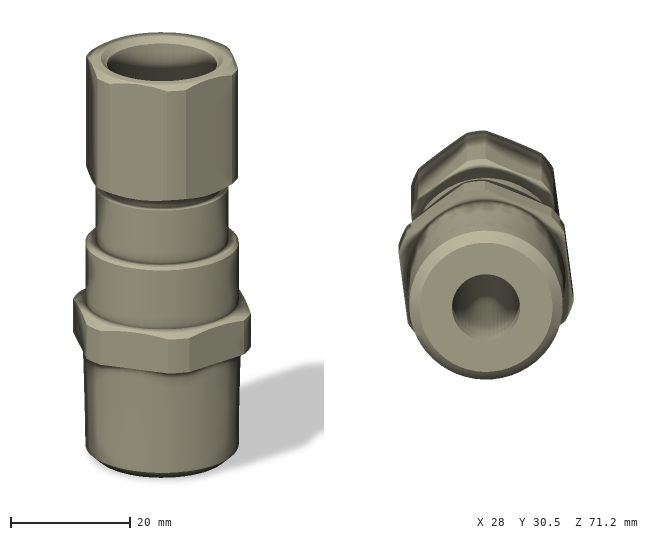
import cadquery as cq
import math

TOTAL_HEIGHT = 71.25
SWIVEL_HEX_BOTTOM = 50.1
NECK_BOTTOM = 48.25
JOINT_LEVEL = 38.55
BODY_HEX_TOP = 27.5
BODY_HEX_BOTTOM = 20.45
TIP_CHAMFER_HEIGHT = 1.6

BODY_ACROSS_FLATS = 28.0
BODY_HEX_DIAMETER = 30.5
BODY_HEX_CHAMFER_HEIGHT = 0.9
COLLAR_DIAMETER = 25.7
COLLAR_CHAMFER = 0.4
TAPER_TOP_DIAMETER = 26.65
TAPER_BOTTOM_DIAMETER = 25.7
TIP_DIAMETER = 22.3

SWIVEL_ACROSS_FLATS = 24.0
SWIVEL_HEX_DIAMETER = 26.1
SWIVEL_FACE_DIAMETER = 23.5
CORNER_CHAMFER_ANGLE = 30.0
NECK_DIAMETER = 20.0
SHANK_DIAMETER = 22.3

SOCKET_DIAMETER = 18.45
SOCKET_MOUTH_DIAMETER = 20.5
SOCKET_FLOOR = SWIVEL_HEX_BOTTOM
PASSAGE_DIAMETER = 11.4
PASSAGE_MOUTH_DIAMETER = 13.7


def revolve_profile(points):
    """Revolve (diameter, height) points, closed along the Z axis."""
    bottom = points[0][1]
    top = points[-1][1]
    outline = [(0, bottom)] + [(d / 2, z) for d, z in points] + [(0, top)]
    return cq.Workplane("XZ").polyline(outline).close().revolve(360, (0, 0), (0, 1))


def hex_prism(across_flats, bottom, top):
    """Hexagon with two flats facing +X and -X."""
    corner_diameter = across_flats / math.cos(math.radians(30))
    prism = cq.Workplane("XY").workplane(offset=bottom).polygon(6, corner_diameter).extrude(top - bottom)
    return prism.rotate((0, 0, 0), (0, 0, 1), 30)


def make_body():
    hexagon = hex_prism(BODY_ACROSS_FLATS, BODY_HEX_BOTTOM, BODY_HEX_TOP)
    rounding = revolve_profile([
        (BODY_HEX_DIAMETER, BODY_HEX_BOTTOM),
        (BODY_HEX_DIAMETER, BODY_HEX_TOP - BODY_HEX_CHAMFER_HEIGHT),
        (COLLAR_DIAMETER, BODY_HEX_TOP),
    ])
    thread_end = revolve_profile([
        (TIP_DIAMETER, 0),
        (TAPER_BOTTOM_DIAMETER, TIP_CHAMFER_HEIGHT),
        (TAPER_TOP_DIAMETER, BODY_HEX_BOTTOM),
    ])
    collar = revolve_profile([
        (COLLAR_DIAMETER, BODY_HEX_TOP),
        (COLLAR_DIAMETER, JOINT_LEVEL - COLLAR_CHAMFER),
        (COLLAR_DIAMETER - 2 * COLLAR_CHAMFER, JOINT_LEVEL),
    ])
    passage = revolve_profile([(PASSAGE_DIAMETER, 0), (PASSAGE_DIAMETER, JOINT_LEVEL)])
    return hexagon.intersect(rounding).union(thread_end).union(collar).cut(passage)


def make_swivel():
    chamfer_height = ((SWIVEL_HEX_DIAMETER - SWIVEL_FACE_DIAMETER) / 2
                      * math.tan(math.radians(CORNER_CHAMFER_ANGLE)))
    hexagon = hex_prism(SWIVEL_ACROSS_FLATS, SWIVEL_HEX_BOTTOM, TOTAL_HEIGHT)
    rounding = revolve_profile([
        (SWIVEL_FACE_DIAMETER, SWIVEL_HEX_BOTTOM),
        (SWIVEL_HEX_DIAMETER, SWIVEL_HEX_BOTTOM + chamfer_height),
        (SWIVEL_HEX_DIAMETER, TOTAL_HEIGHT - chamfer_height),
        (SWIVEL_FACE_DIAMETER, TOTAL_HEIGHT),
    ])
    stem = revolve_profile([
        (SHANK_DIAMETER, JOINT_LEVEL),
        (SHANK_DIAMETER, NECK_BOTTOM),
        (NECK_DIAMETER, NECK_BOTTOM),
        (NECK_DIAMETER, SWIVEL_HEX_BOTTOM),
    ])
    mouth_depth = (SOCKET_MOUTH_DIAMETER - SOCKET_DIAMETER) / 2
    passage_mouth_depth = (PASSAGE_MOUTH_DIAMETER - PASSAGE_DIAMETER) / 2
    bore = revolve_profile([
        (PASSAGE_DIAMETER, JOINT_LEVEL),
        (PASSAGE_DIAMETER, SOCKET_FLOOR - passage_mouth_depth),
        (PASSAGE_MOUTH_DIAMETER, SOCKET_FLOOR),
        (SOCKET_DIAMETER, SOCKET_FLOOR),
        (SOCKET_DIAMETER, TOTAL_HEIGHT - mouth_depth),
        (SOCKET_MOUTH_DIAMETER, TOTAL_HEIGHT),
    ])
    return hexagon.intersect(rounding).union(stem).cut(bore)


body = make_body()
swivel = make_swivel()
result = cq.Compound.makeCompound([body.solids().val(), swivel.solids().val()])